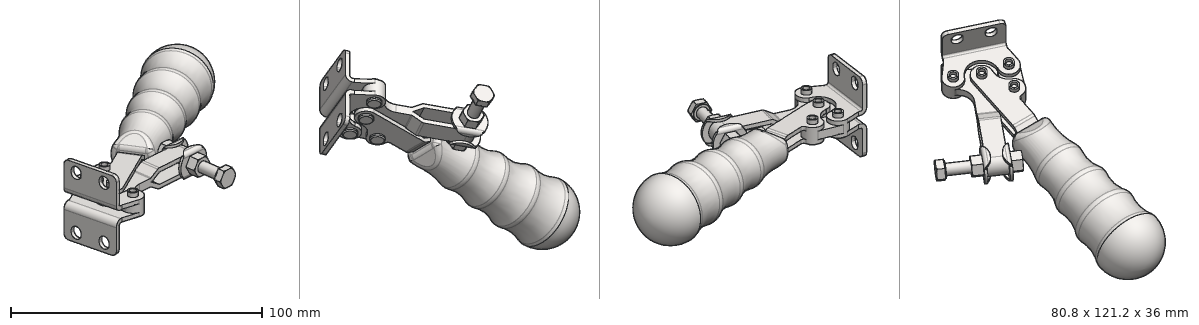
import cadquery as cq
import math

MAIN_PIVOT = (0.1, 14.4)
LINK_PIVOT = (-11.5, 12.5)
ARM_PIVOT = (11.5, 13.1)
HANDLE_PIVOT = (-10.8, 24.0)

SHEET = 1.9
LUG_RADIUS = 4.6
CLEARANCE_RADIUS = 7.0

BASE_WIDTH = 26.2
BASE_DEPTH = 36.0
BASE_NECK_HEIGHT = 3.9
BEND_INNER_RADIUS = 1.0
BASE_CORNER_RADIUS = 2.5
SLOT_WIDTH = 4.8
SLOT_LENGTH = 5.7
SLOT_SPACING_X = 13.9
SLOT_SPACING_Z = 27.0

RIVET_RADIUS = 2.2
RIVET_TOP = 5.9
RIVET_HEAD_RADIUS = 3.2
RIVET_HEAD_BOTTOM = -5.1
RIVET_HEAD_CHAMFER = 0.5
RIVET_HOLE_RADIUS = 1.5
RIVET_HOLE_DEPTH = 1.8

HANDLE_TILT = 21.4
STEM_WIDTH = 10.0
STEM_FOOT = 9.7
STEM_BEND_START = 28.1
STEM_BEND_END = 31.5
STEM_BEND_RADIUS = 2.4
STEM_END = 48.5
STEM_CORNER_RADIUS = 1.5
GRIP_END = 31.5
GRIP_BALL_CENTER = 98.8
GRIP_BALL_RADIUS = 15.0
GRIP_SHOULDER_RADIUS = 14.7
GRIP_SHOULDER_LENGTH = 1.6
GRIP_END_RADIUS = 9.3
GRIP_END_ROUND = 2.4
RIBS = [(15.5, 13.8), (31.3, 12.2), (46.7, 10.9)]
HOLLOWS = [(9.1, 13.1), (24.8, 11.5), (40.2, 10.2)]
LAST_HOLLOW = (55.8, 9.1)
RIB_HALF_WIDTH = 1.1
RIB_CROWN = 0.1
GRIP_BEVEL_ROUND = 2.7
GRIP_BEVEL_HALF_HEIGHT = 4.2
GRIP_BEVEL_SLOPE = 37.0

ARM_TILT = -6.3
ARM_WIDTH = 9.0
ARM_SPREAD_START = 17.7
ARM_SPREAD_END = 22.3
ARM_EYE_DISTANCE = 41.6
ARM_EYE_RADIUS = 4.7
ARM_START_BEND_RADIUS = 1.0
ARM_END_BEND_RADIUS = 1.9
ARM_FILLET = 6.5

BOLT_RADIUS = 2.5
HEX_ACROSS_FLATS = 8.0
HEX_CHAMFER_LENGTH = 0.2
HEX_CHAMFER_DEPTH = 0.5
NUT_THICKNESS = 4.6
WASHER_RADIUS = 7.5
WASHER_THICKNESS = 1.2
LIP_REACH = 3.3
LIP_GAP = 0.1
LIP_BEND_RADIUS = 1.8
BOLT_HEAD_START = 21.1
BOLT_HEAD_THICKNESS = 3.4
BOLT_COLLAR_RADIUS = 3.6
BOLT_COLLAR_THICKNESS = 0.5

BIG = 121.2


def both_sides(solid):
    """Join a solid with its copy mirrored through the Z = 0 plane."""
    return solid.union(solid.mirror("XY"))


def disc(center, radius, half_height):
    return cq.Workplane("XY").center(*center).circle(radius).extrude(half_height, both=True)


def prism(points, half_height):
    return cq.Workplane("XY").polyline(points).close().extrude(half_height, both=True)


def placed(solid, tilt):
    """Move a solid from a frame along the handle or arm (+Y) to its tilted place on the main pivot."""
    return solid.rotate((0, 0, 0), (0, 0, 1), tilt).translate((*MAIN_PIVOT, 0))


def tangent_points(center_a, center_b, radius):
    """Ends of the line touching two equal circles on the left of the way from a to b."""
    dx, dy = center_b[0] - center_a[0], center_b[1] - center_a[1]
    length = math.hypot(dx, dy)
    nx, ny = -dy / length * radius, dx / length * radius
    return (center_a[0] + nx, center_a[1] + ny), (center_b[0] + nx, center_b[1] + ny)


def obround(center_a, center_b, radius, half_height):
    """Bar with a round lug at both ends."""
    corners = [*tangent_points(center_a, center_b, radius), *tangent_points(center_b, center_a, radius)]
    bar = prism(corners, half_height)
    return bar.union(disc(center_a, radius, half_height)).union(disc(center_b, radius, half_height))


def flare_point(corner, lug_center, side):
    """Touch point on a lug of the straight flared edge that starts at a corner of the base."""
    dx, dy = corner[0] - lug_center[0], corner[1] - lug_center[1]
    angle = math.atan2(dy, dx) + side * math.acos(LUG_RADIUS / math.hypot(dx, dy))
    return lug_center[0] + LUG_RADIUS * math.cos(angle), lug_center[1] + LUG_RADIUS * math.sin(angle)


def base():
    """Two mirrored angle brackets with slotted feet."""
    half = BASE_WIDTH / 2
    left_neck, right_neck = (-half, BASE_NECK_HEIGHT), (half, BASE_NECK_HEIGHT)
    outline = prism(
        [
            (-half, 0),
            left_neck,
            flare_point(left_neck, LINK_PIVOT, -1),
            LINK_PIVOT,
            ARM_PIVOT,
            flare_point(right_neck, ARM_PIVOT, 1),
            right_neck,
            (half, 0),
        ],
        BASE_DEPTH / 2,
    )
    for pivot in (LINK_PIVOT, ARM_PIVOT):
        outline = outline.union(disc(pivot, LUG_RADIUS, BASE_DEPTH / 2))
    outline = outline.cut(disc(MAIN_PIVOT, CLEARANCE_RADIUS, BASE_DEPTH / 2))

    outer_radius = SHEET + BEND_INNER_RADIUS
    section = (
        cq.Workplane("YZ")
        .moveTo(0, BASE_DEPTH / 2)
        .lineTo(0, SHEET + outer_radius)
        .radiusArc((outer_radius, SHEET), -outer_radius)
        .lineTo(BIG, SHEET)
        .lineTo(BIG, 2 * SHEET)
        .lineTo(outer_radius, 2 * SHEET)
        .radiusArc((SHEET, SHEET + outer_radius), BEND_INNER_RADIUS)
        .lineTo(SHEET, BASE_DEPTH / 2)
        .close()
        .extrude(BASE_WIDTH, both=True)
    )
    bracket = outline.intersect(section)
    bracket = bracket.faces(">Z").edges("|Y").fillet(BASE_CORNER_RADIUS)
    slots = (
        cq.Workplane("XZ")
        .pushPoints([(side * SLOT_SPACING_X / 2, SLOT_SPACING_Z / 2) for side in (-1, 1)])
        .slot2D(SLOT_LENGTH, SLOT_WIDTH, 90)
        .extrude(-SHEET)
    )
    return both_sides(bracket.cut(slots))


def handle_plates():
    """Two mirrored plates that close together on their way into the grip."""
    half_height = 2 * SHEET
    stem_right = LUG_RADIUS
    stem_left = stem_right - STEM_WIDTH
    stem = prism(
        [(0, 0), (stem_right, 0), (stem_right, STEM_END), (stem_left, STEM_END), (stem_left, STEM_FOOT)],
        half_height,
    )
    outline = placed(stem, HANDLE_TILT)
    outline = outline.union(prism([HANDLE_PIVOT, LINK_PIVOT, MAIN_PIVOT], half_height))
    for pivot in (HANDLE_PIVOT, MAIN_PIVOT):
        outline = outline.union(disc(pivot, LUG_RADIUS, half_height))
    outline = outline.cut(disc(LINK_PIVOT, CLEARANCE_RADIUS, half_height))
    lug_corner = (HANDLE_PIVOT[0], HANDLE_PIVOT[1] + LUG_RADIUS, 0)
    outline = outline.edges(cq.selectors.NearestToPointSelector(lug_corner)).fillet(STEM_CORNER_RADIUS)

    section = (
        cq.Workplane("YZ")
        .polyline(
            [
                (-BIG, SHEET),
                (STEM_BEND_START, SHEET),
                (STEM_BEND_END, 0),
                (BIG, 0),
                (BIG, SHEET),
                (STEM_BEND_END, SHEET),
                (STEM_BEND_START, 2 * SHEET),
                (-BIG, 2 * SHEET),
            ]
        )
        .close()
        .extrude(BIG, both=True)
    )
    bend_edge = cq.selectors.NearestToPointSelector((0, STEM_BEND_START, 2 * SHEET))
    section = section.edges("|X").edges(bend_edge).fillet(STEM_BEND_RADIUS)
    return both_sides(outline.intersect(placed(section, HANDLE_TILT)))


def grip():
    """Round grip with finger ribs, a ball end and two bevels at the stem end."""
    length = GRIP_BALL_CENTER - GRIP_END
    profile = cq.Workplane("XY").moveTo(0, GRIP_BALL_RADIUS)
    profile = profile.radiusArc((GRIP_BALL_RADIUS, 0), GRIP_BALL_RADIUS)
    profile = profile.lineTo(GRIP_SHOULDER_RADIUS, -GRIP_SHOULDER_LENGTH)
    for (hollow_at, hollow_radius), (rib_at, rib_radius) in zip(HOLLOWS, RIBS):
        shoulder = rib_radius - RIB_CROWN
        profile = profile.threePointArc((hollow_radius, -hollow_at), (shoulder, RIB_HALF_WIDTH - rib_at))
        profile = profile.threePointArc((rib_radius, -rib_at), (shoulder, -RIB_HALF_WIDTH - rib_at))
    hollow_at, hollow_radius = LAST_HOLLOW
    profile = (
        profile.threePointArc((hollow_radius, -hollow_at), (GRIP_END_RADIUS, GRIP_END_ROUND - length))
        .radiusArc((GRIP_END_RADIUS - GRIP_END_ROUND, -length), GRIP_END_ROUND)
        .lineTo(0, -length)
        .close()
    )
    body = profile.revolve(360, (0, 0), (0, 1))

    rise = BIG * math.tan(math.radians(GRIP_BEVEL_SLOPE))
    bevel = (
        cq.Workplane("YZ")
        .moveTo(-length, GRIP_BEVEL_HALF_HEIGHT)
        .line(BIG, rise)
        .line(-BIG, 0)
        .close()
        .extrude(BIG, both=True)
    )
    body = body.cut(both_sides(bevel))
    for side in (-1, 1):
        bevel_point = (0, GRIP_BEVEL_ROUND - length, side * (GRIP_BEVEL_HALF_HEIGHT + GRIP_BEVEL_ROUND))
        bevel_face = cq.selectors.NearestToPointSelector(bevel_point)
        body = body.faces(bevel_face).edges().fillet(GRIP_BEVEL_ROUND)
    axis_offset = LUG_RADIUS - STEM_WIDTH / 2
    return placed(body.translate((axis_offset, GRIP_BALL_CENTER, 0)), HANDLE_TILT)


def clamp_arm():
    """Strap folded around the bolt; its two halves lie together at the pivots and spread at the bolt."""
    half_width = ARM_WIDTH / 2
    arm_end = ARM_EYE_DISTANCE + ARM_EYE_RADIUS
    strap = prism(
        [(-half_width, 0), (half_width, 0), (half_width, arm_end), (-half_width, arm_end)], ARM_EYE_RADIUS
    )
    foot = obround(MAIN_PIVOT, ARM_PIVOT, LUG_RADIUS, ARM_EYE_RADIUS)
    outline = foot.union(placed(strap, ARM_TILT))
    inner_corner = (MAIN_PIVOT[0] + half_width, MAIN_PIVOT[1] + LUG_RADIUS, 0)
    outline = outline.edges("|Z").edges(cq.selectors.NearestToPointSelector(inner_corner)).fillet(ARM_FILLET)

    eye_inner = ARM_EYE_RADIUS - SHEET
    spread_angle = math.atan2(ARM_EYE_RADIUS - SHEET, ARM_SPREAD_END - ARM_SPREAD_START)
    inner_shift = SHEET * math.tan(spread_angle / 2)
    folded = (
        cq.Workplane("YZ")
        .moveTo(-BIG, -SHEET)
        .lineTo(-BIG, SHEET)
        .lineTo(ARM_SPREAD_START, SHEET)
        .lineTo(ARM_SPREAD_END, ARM_EYE_RADIUS)
        .lineTo(ARM_EYE_DISTANCE, ARM_EYE_RADIUS)
        .threePointArc((arm_end, 0), (ARM_EYE_DISTANCE, -ARM_EYE_RADIUS))
        .lineTo(ARM_SPREAD_END, -ARM_EYE_RADIUS)
        .lineTo(ARM_SPREAD_START, -SHEET)
        .close()
        .extrude(BIG, both=True)
    )
    for side in (-1, 1):
        start_edge = cq.selectors.NearestToPointSelector((0, ARM_SPREAD_START, side * SHEET))
        folded = folded.edges("|X").edges(start_edge).fillet(ARM_START_BEND_RADIUS)
        end_edge = cq.selectors.NearestToPointSelector((0, ARM_SPREAD_END, side * ARM_EYE_RADIUS))
        folded = folded.edges("|X").edges(end_edge).fillet(ARM_END_BEND_RADIUS)
    opening = (
        cq.Workplane("YZ")
        .moveTo(ARM_SPREAD_START + inner_shift, 0)
        .lineTo(ARM_SPREAD_END + inner_shift, eye_inner)
        .lineTo(ARM_EYE_DISTANCE, eye_inner)
        .threePointArc((ARM_EYE_DISTANCE + eye_inner, 0), (ARM_EYE_DISTANCE, -eye_inner))
        .lineTo(ARM_SPREAD_END + inner_shift, -eye_inner)
        .close()
        .extrude(BIG, both=True)
    )
    return outline.intersect(placed(folded.cut(opening), ARM_TILT))


def hexagon(start, thickness):
    """Hexagonal prism along X with its flats facing Z and chamfered corners on the far end."""
    across_corners = HEX_ACROSS_FLATS / math.cos(math.pi / 6)
    prism_x = cq.Workplane("YZ").workplane(offset=start).polygon(6, across_corners).extrude(thickness)
    turned = (
        cq.Workplane("YZ")
        .workplane(offset=start)
        .circle(across_corners / 2)
        .extrude(thickness)
        .faces(">X")
        .edges()
        .chamfer(HEX_CHAMFER_LENGTH, HEX_CHAMFER_DEPTH)
    )
    return prism_x.intersect(turned)


def flanged_washer():
    """Round washer on the +X side of the arm with two lips that grip the faces of the arm."""
    inner = ARM_WIDTH / 2
    outer = inner + WASHER_THICKNESS
    lip_inner = ARM_EYE_RADIUS + LIP_GAP
    lip_outer = lip_inner + WASHER_THICKNESS
    half_chord = math.sqrt(WASHER_RADIUS**2 - lip_inner**2)
    wall = cq.Workplane("YZ").workplane(offset=inner).circle(WASHER_RADIUS).extrude(WASHER_THICKNESS)
    wall = wall.intersect(cq.Workplane("XY").box(BIG, BIG, 2 * lip_inner))
    lip = (
        cq.Workplane("XY")
        .workplane(offset=lip_inner)
        .moveTo(outer, -half_chord)
        .threePointArc((outer - LIP_REACH, 0), (outer, half_chord))
        .close()
        .extrude(WASHER_THICKNESS)
    )
    envelope = cq.Workplane("XY").box(2 * outer, BIG, 2 * lip_outer)
    envelope = envelope.edges("|Y and >X").fillet(LIP_BEND_RADIUS)
    return wall.union(both_sides(lip)).intersect(envelope)


def bolt_set():
    """Bolt through the arm eye, held by a washer and a nut on each side."""
    washer = flanged_washer()
    nut = hexagon(ARM_WIDTH / 2 + WASHER_THICKNESS, NUT_THICKNESS)
    clamped = washer.union(nut)
    shank_start = -(ARM_WIDTH / 2 + WASHER_THICKNESS + NUT_THICKNESS)
    shank = (
        cq.Workplane("YZ")
        .workplane(offset=shank_start)
        .circle(BOLT_RADIUS)
        .extrude(BOLT_HEAD_START - shank_start)
    )
    collar = (
        cq.Workplane("YZ")
        .workplane(offset=BOLT_HEAD_START - BOLT_COLLAR_THICKNESS)
        .circle(BOLT_COLLAR_RADIUS)
        .extrude(BOLT_COLLAR_THICKNESS)
    )
    head = hexagon(BOLT_HEAD_START, BOLT_HEAD_THICKNESS)
    parts = clamped.union(clamped.mirror("YZ")).union(shank).union(collar).union(head)
    return placed(parts.translate((0, ARM_EYE_DISTANCE, 0)), ARM_TILT)


def rivet(center):
    """Rivet with a flat head below the plates and a hollow end above them."""
    head_top = -2 * SHEET
    head = (
        cq.Workplane("XY")
        .workplane(offset=RIVET_HEAD_BOTTOM)
        .circle(RIVET_HEAD_RADIUS)
        .extrude(head_top - RIVET_HEAD_BOTTOM)
        .faces("<Z")
        .edges()
        .chamfer(RIVET_HEAD_CHAMFER)
    )
    shank = cq.Workplane("XY").workplane(offset=head_top).circle(RIVET_RADIUS).extrude(RIVET_TOP - head_top)
    hole = (
        cq.Workplane("XY")
        .workplane(offset=RIVET_TOP - RIVET_HOLE_DEPTH)
        .circle(RIVET_HOLE_RADIUS)
        .extrude(RIVET_HOLE_DEPTH)
    )
    return head.union(shank).cut(hole).translate((*center, 0))


link = obround(LINK_PIVOT, HANDLE_PIVOT, LUG_RADIUS, SHEET)

result = base().union(link).union(handle_plates()).union(clamp_arm())
for pivot in (MAIN_PIVOT, LINK_PIVOT, ARM_PIVOT, HANDLE_PIVOT):
    result = result.union(rivet(pivot))
result = result.union(grip()).union(bolt_set())